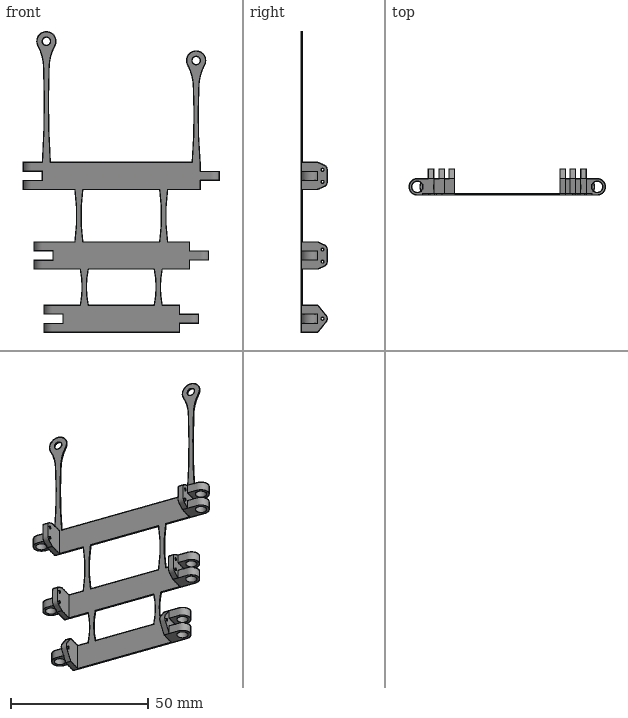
import cadquery as cq
import math

total_height = 109.5
overall_width = 71.5
sheet_thickness = 0.5
bar_height = 10.0
bar_half_lengths = [21.2, 24.9, 28.8]
bar_gaps = [13.0, 19.0]

lug_depth = 6.0
lug_radius = lug_depth / 2
lug_reach = overall_width / 2 - bar_half_lengths[-1]
lug_height = bar_height / 3
hinge_hole_diameter = 4.0

ear_thickness = 2.1
ear_depth = 9.5
ear_tip_radius = 1.9
ear_hole_diameter = 1.0
ear_hole_y = 7.8
ear_hole_offsets = [0.0, 2.2, 2.2]

strut_end_width = 3.0
strut_waist_width = 1.6
strut_positions = [13.5, 15.4]

arm_position = 27.3
arm_neck_width = 2.1
eyelet_radius = 3.5
eyelet_hole_diameter = 3.0
eyelet_flare_radius = 17.0
short_arm_drop = 7.0

bar_bottoms = [0.0]
for gap in bar_gaps:
    bar_bottoms.append(bar_bottoms[-1] + bar_height + gap)
top_bar_top = bar_bottoms[-1] + bar_height


def front_plane(x, z):
    """Sketch plane on the front face; a negative extrusion goes toward +Y."""
    return cq.Workplane("XZ", origin=(x, 0, z))


def make_bar(half_length, bottom):
    """Flat plate centred on X = 0."""
    middle = bottom + bar_height / 2
    return front_plane(0, middle).rect(2 * half_length, bar_height).extrude(-sheet_thickness)


def make_lug(side, half_length, bottom):
    """Round-ended hinge lug reaching from the inner face of the ear past the bar end."""
    pin_x = half_length + lug_reach - lug_radius
    inner_x = half_length - ear_thickness
    lug = (
        cq.Workplane("XY", origin=(0, 0, bottom))
        .moveTo(side * inner_x, 0)
        .lineTo(side * pin_x, 0)
        .threePointArc((side * (pin_x + lug_radius), lug_radius), (side * pin_x, lug_depth))
        .lineTo(side * inner_x, lug_depth)
        .close()
        .extrude(lug_height)
    )
    hole = (
        cq.Workplane("XY", origin=(side * pin_x, lug_radius, bottom))
        .circle(hinge_hole_diameter / 2)
        .extrude(lug_height)
    )
    return lug.cut(hole)


def make_ear(side, half_length, bottom, hole_offset):
    """Plate across the bar, tapering from the lug depth to a rounded tip with one or two holes."""
    half_height = bar_height / 2
    tip_y = ear_depth - ear_tip_radius

    to_corner_y = lug_depth - tip_y
    to_corner_z = half_height - hole_offset
    corner_distance = math.hypot(to_corner_y, to_corner_z)
    tangent_angle = math.atan2(to_corner_z, to_corner_y) - math.acos(ear_tip_radius / corner_distance)

    def tip_point(angle, half):
        """Point on the tip arc of the upper (1) or lower (-1) half."""
        y = tip_y + ear_tip_radius * math.cos(angle)
        z = hole_offset + ear_tip_radius * math.sin(angle)
        return y, half * z

    inner_x = half_length - ear_thickness
    start_x = min(side * inner_x, side * half_length)
    plane = cq.Workplane("YZ", origin=(start_x, 0, bottom + half_height))
    outline = (
        plane.moveTo(0, -half_height)
        .lineTo(0, half_height)
        .lineTo(lug_depth, half_height)
        .lineTo(*tip_point(tangent_angle, 1))
    )
    if hole_offset > 0:
        outline = (
            outline.threePointArc(tip_point(tangent_angle / 2, 1), tip_point(0, 1))
            .lineTo(*tip_point(0, -1))
            .threePointArc(tip_point(tangent_angle / 2, -1), tip_point(tangent_angle, -1))
        )
    else:
        outline = outline.threePointArc(tip_point(0, 1), tip_point(tangent_angle, -1))
    ear = outline.lineTo(lug_depth, -half_height).close().extrude(ear_thickness)

    offsets = [hole_offset, -hole_offset] if hole_offset > 0 else [0]
    for offset in offsets:
        hole = plane.center(ear_hole_y, offset).circle(ear_hole_diameter / 2).extrude(ear_thickness)
        ear = ear.cut(hole)
    return ear


def make_strut(x, bottom, length):
    """Flat strip with concave sides, narrowest at half its length."""
    end = strut_end_width / 2
    waist = strut_waist_width / 2
    return (
        front_plane(x, bottom)
        .moveTo(-end, 0)
        .threePointArc((-waist, length / 2), (-end, length))
        .lineTo(end, length)
        .threePointArc((waist, length / 2), (end, 0))
        .close()
        .extrude(-sheet_thickness)
    )


def make_arm(x, top):
    """Waisted strip that flares tangentially into a round eyelet."""
    eyelet_height = top - eyelet_radius - top_bar_top
    end = strut_end_width / 2
    waist = strut_waist_width / 2
    neck = arm_neck_width / 2

    center_offset = neck + eyelet_flare_radius
    center_distance = eyelet_radius + eyelet_flare_radius
    flare_drop = math.sqrt(center_distance**2 - center_offset**2)
    neck_height = eyelet_height - flare_drop
    waist_height = neck_height / 2
    touch_angle = math.atan2(flare_drop, center_offset)
    touch_x = eyelet_radius * math.cos(touch_angle)
    touch_height = eyelet_height - eyelet_radius * math.sin(touch_angle)
    middle_x = center_offset - eyelet_flare_radius * math.cos(touch_angle / 2)
    middle_height = neck_height + eyelet_flare_radius * math.sin(touch_angle / 2)

    arm = (
        front_plane(x, top_bar_top)
        .moveTo(-end, 0)
        .threePointArc((-waist, waist_height), (-neck, neck_height))
        .threePointArc((-middle_x, middle_height), (-touch_x, touch_height))
        .threePointArc((0, eyelet_height + eyelet_radius), (touch_x, touch_height))
        .threePointArc((middle_x, middle_height), (neck, neck_height))
        .threePointArc((waist, waist_height), (end, 0))
        .close()
        .extrude(-sheet_thickness)
    )
    hole = (
        front_plane(x, top_bar_top + eyelet_height)
        .circle(eyelet_hole_diameter / 2)
        .extrude(-sheet_thickness)
    )
    return arm.cut(hole)


pieces = []

for half_length, bottom, hole_offset in zip(bar_half_lengths, bar_bottoms, ear_hole_offsets):
    pieces.append(make_bar(half_length, bottom))
    pieces.append(make_ear(-1, half_length, bottom, hole_offset))
    pieces.append(make_ear(1, half_length, bottom, hole_offset))
    pieces.append(make_lug(-1, half_length, bottom))
    pieces.append(make_lug(-1, half_length, bottom + 2 * lug_height))
    pieces.append(make_lug(1, half_length, bottom + lug_height))

for position, bottom, gap in zip(strut_positions, bar_bottoms, bar_gaps):
    for side in (-1, 1):
        pieces.append(make_strut(side * position, bottom + bar_height, gap))

pieces.append(make_arm(-arm_position, total_height))
pieces.append(make_arm(arm_position, total_height - short_arm_drop))

result = pieces[0]
for piece in pieces[1:]:
    result = result.union(piece)